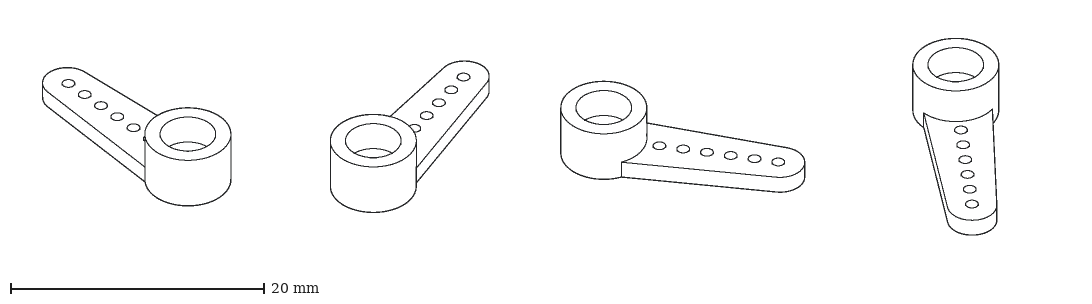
import cadquery as cq
import math

length = 19.6
height = 4.55

hub_diameter = 6.8
hub_radius = hub_diameter / 2
hub_x = length - hub_radius
bore_diameter = 4.4
bore_depth = 2.49
screw_hole_diameter = 2.0

arm_thickness = 1.49
tip_radius = 1.96
root_half_width = 2.72

hole_diameter = 1.0
hole_count = 6
hole_pitch = 1.92
first_hole_x = 2.1


def make_hub():
    return cq.Workplane("XY").center(hub_x, 0).circle(hub_radius).extrude(height)


def make_arm():
    root_x = hub_x - math.sqrt(hub_radius**2 - root_half_width**2)
    run = root_x - tip_radius
    tangent_angle = math.atan2(root_half_width, run) + math.acos(
        tip_radius / math.hypot(run, root_half_width)
    )
    tangent_x = tip_radius + tip_radius * math.cos(tangent_angle)
    tangent_y = tip_radius * math.sin(tangent_angle)
    return (
        cq.Workplane("XY")
        .moveTo(hub_x, -root_half_width)
        .lineTo(root_x, -root_half_width)
        .lineTo(tangent_x, -tangent_y)
        .threePointArc((0, 0), (tangent_x, tangent_y))
        .lineTo(root_x, root_half_width)
        .lineTo(hub_x, root_half_width)
        .close()
        .extrude(arm_thickness)
    )


def make_hub_opening():
    bore = (
        cq.Workplane("XY", origin=(hub_x, 0, height - bore_depth))
        .circle(bore_diameter / 2)
        .extrude(bore_depth)
    )
    screw_hole = cq.Workplane("XY").center(hub_x, 0).circle(screw_hole_diameter / 2).extrude(height)
    return bore.union(screw_hole)


def make_linkage_holes():
    centers = [(first_hole_x + i * hole_pitch, 0) for i in range(hole_count)]
    return cq.Workplane("XY").pushPoints(centers).circle(hole_diameter / 2).extrude(arm_thickness)


result = make_hub().union(make_arm()).cut(make_hub_opening()).cut(make_linkage_holes())